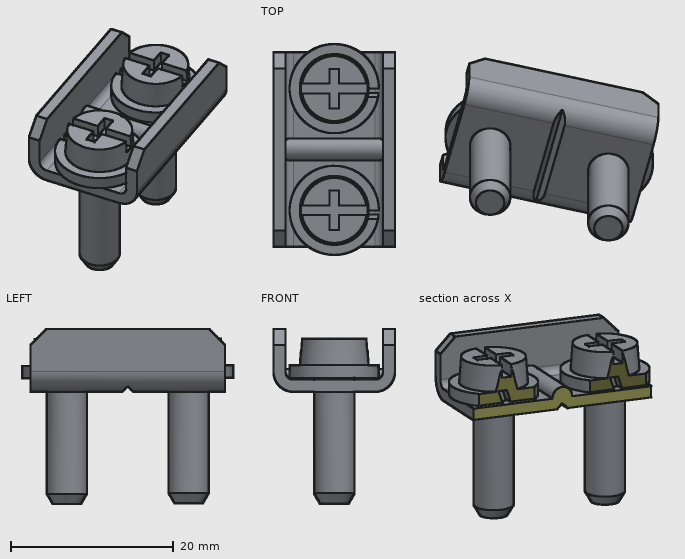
import cadquery as cq

length = 24.0
width = 15.0
height = 7.77
thickness = 1.5
bend_radius = 2.5
corner_chamfer = 2.0
notch_depth = 0.7
rib_radius = 1.35

screw_spacing = 15.0
shank_diameter = 5.0
shank_length = 15.47
tip_diameter = 3.48
tip_length = 1.27
washer_diameter = 11.0
washer_thickness = 1.55
slit_width = 1.05
slit_slant = 0.52
head_base_diameter = 8.5
head_top_diameter = 8.0
head_height = 3.28
drive_depth = 1.55
drive_slot_width = 1.2
drive_cross_width = 1.15
drive_cross_length = 4.85

screw_seats = [
    (-screw_spacing / 2, 0.23),
    (screw_spacing / 2, 0.15),
]


def make_u_channel():
    """U section with rounded bends, extruded along Y."""
    outer = (
        cq.Workplane("XY")
        .box(width, length, height, centered=(True, True, False))
        .edges("|Y and <Z")
        .fillet(bend_radius)
    )
    inner = (
        cq.Workplane("XY")
        .workplane(offset=thickness)
        .box(width - 2 * thickness, length, height, centered=(True, True, False))
        .edges("|Y and <Z")
        .fillet(bend_radius - thickness)
    )
    channel = outer.cut(inner)
    return channel.edges("|X and >Z").chamfer(corner_chamfer)


def make_rib():
    """Half-round rib across the floor, from wall to wall."""
    inside_width = width - 2 * thickness
    return (
        cq.Workplane("YZ", origin=(-inside_width / 2, 0, 0))
        .moveTo(-rib_radius, thickness)
        .threePointArc((0, thickness + rib_radius), (rib_radius, thickness))
        .close()
        .extrude(inside_width)
    )


def make_notch():
    """Right-angled V groove across the underside, below the rib."""
    return (
        cq.Workplane("YZ")
        .polyline([(-notch_depth, 0), (0, notch_depth), (notch_depth, 0)])
        .close()
        .extrude(width / 2, both=True)
    )


def make_bracket():
    bracket = make_u_channel().union(make_rib()).cut(make_notch())
    screw_holes = (
        cq.Workplane("XY")
        .pushPoints([(0, y) for y, clearance in screw_seats])
        .circle(shank_diameter / 2)
        .extrude(thickness)
    )
    return bracket.cut(screw_holes)


def make_washer_slit():
    """Slanted radial cut through the washer on its +X side, outside the shank."""
    slit = (
        cq.Workplane("YZ")
        .polyline([
            (-slit_width, washer_thickness),
            (0, washer_thickness),
            (slit_slant, 0),
            (slit_slant - slit_width, 0),
        ])
        .close()
        .extrude(washer_diameter)
    )
    shank_core = cq.Workplane("XY").circle(shank_diameter / 2).extrude(washer_thickness)
    return slit.cut(shank_core)


def make_drive():
    """Full-width slot along X crossed by a short slot along Y."""
    slot_floor = washer_thickness + head_height - drive_depth
    plane = cq.Workplane("XY").workplane(offset=slot_floor)
    slot = plane.rect(head_base_diameter, drive_slot_width).extrude(drive_depth)
    cross = plane.rect(drive_cross_width, drive_cross_length).extrude(drive_depth)
    return slot.union(cross)


def make_screw():
    """Screw on the Z axis with the underside of its washer at Z = 0."""
    head_top = washer_thickness + head_height
    body = (
        cq.Workplane("XZ")
        .polyline([
            (0, -shank_length),
            (tip_diameter / 2, -shank_length),
            (shank_diameter / 2, tip_length - shank_length),
            (shank_diameter / 2, washer_thickness),
            (head_base_diameter / 2, washer_thickness),
            (head_top_diameter / 2, head_top),
            (0, head_top),
        ])
        .close()
        .revolve(360, (0, 0, 0), (0, 1, 0))
    )
    washer = (
        cq.Workplane("XY")
        .circle(washer_diameter / 2)
        .extrude(washer_thickness)
        .cut(make_washer_slit())
    )
    return body.union(washer).cut(make_drive())


bracket = make_bracket()
screw = make_screw()
screws = []
for y, clearance in screw_seats:
    placed_screw = screw.translate((0, y, thickness + clearance))
    screws.append(placed_screw.val())

result = cq.Compound.makeCompound([bracket.val(), *screws])